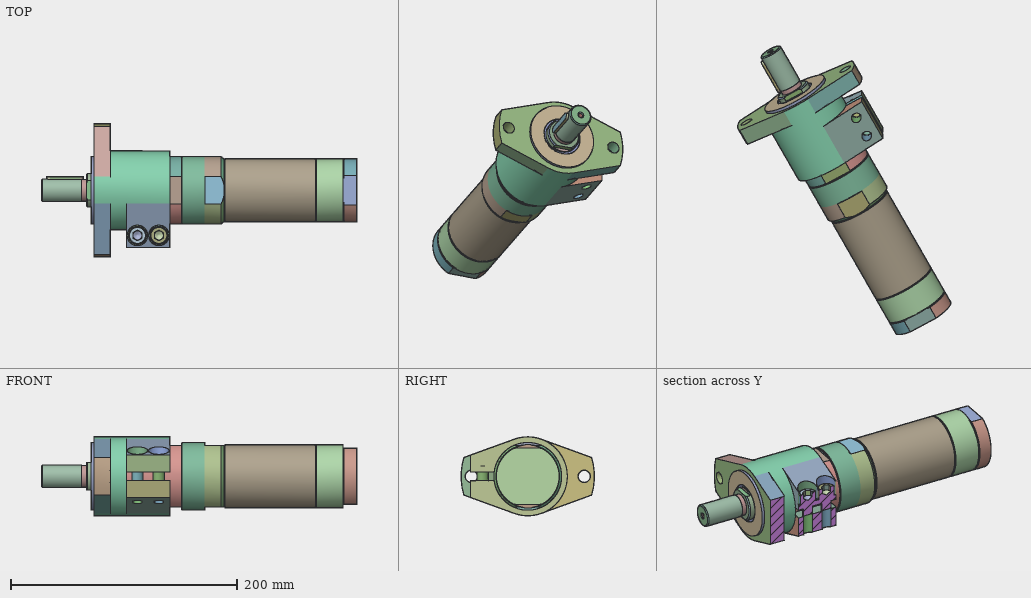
import cadquery as cq
import math

GROOVE_WIDTH = 0.8

NECK_START = 35.5
COLLAR_START = 39.5
PILOT_START = 43.8
FLANGE_START = 46.3
HOUSING_START = 60.8
CLAMP_START = 75.0
CLAMP_END = 113.5
RING_GROOVE_START = 123.5
RING_END = 144.5
BODY_CHAMFER_START = 158.5
BODY_END = 161.5
TUBE_START = BODY_END + GROOVE_WIDTH
REAR_GROOVE_START = 242.0
CAP_GROOVE_START = 266.5
TOTAL_LENGTH = 278.7

SHAFT_DIAMETER = 20.0
SHAFT_CHAMFER = 0.98
NECK_DIAMETER = 19.5
COLLAR_DIAMETER = 29.8
COLLAR_CHAMFER = 1.0
COLLAR_FLAT_HEIGHT = 12.3
SEAL_GROOVE_DIAMETER = 34.3
SEAL_GROOVE_DEPTH = 1.5
CENTRE_HOLE_DIAMETER = 4.0
CENTRE_HOLE_DEPTH = 8.5
COUNTERSINK_DIAMETER = 5.5
DRILL_TIP_HALF_ANGLE = math.radians(59)
KEY_START = 4.5
KEY_END = 37.0
KEY_WIDTH = 6.0
KEY_TOP = 12.0

PILOT_DIAMETER = 60.0
HOUSING_DIAMETER = 70.0
BODY_DIAMETER = 60.0
BODY_END_DIAMETER = 55.2
BODY_FLAT_HEIGHT = 27.3
TUBE_DIAMETER = 56.0
CAP_FLAT_HEIGHT = 24.8
TUBE_GROOVE_DIAMETER = 54.0
RING_GROOVE_DIAMETER = 58.2

FLANGE_LENGTH = 118.0
FLANGE_SLOPE = math.radians(20)
FLANGE_HOLE_OFFSET = 50.0
FLANGE_HOLE_DIAMETER = 10.5

EAR_REACH = 50.7
SLOT_WIDTH = 7.5
SCREW_X = (84.7, 103.7)
SCREW_Y = -39.9
SCREW_DIAMETER = 10.0
THREAD_HOLE_DIAMETER = 8.5
COUNTERBORE_DIAMETER = 18.0
COUNTERBORE_FLOOR = 9.0
HEAD_DIAMETER = 16.0
HEAD_TOP = 19.0
HEAD_CHAMFER = 0.8
SOCKET_WIDTH = 8.0
SOCKET_DEPTH = 5.0

HOUSING_RADIUS = HOUSING_DIAMETER / 2
TANGENT_Y = HOUSING_RADIUS * math.sin(FLANGE_SLOPE)
TANGENT_Z = HOUSING_RADIUS * math.cos(FLANGE_SLOPE)


def cylinder(start, end, diameter):
    """Cylinder on the X axis between two stations."""
    return cq.Workplane("YZ", origin=(start, 0, 0)).circle(diameter / 2).extrude(end - start)


def box(x_range, y_range, z_range):
    """Box between two limits on each axis."""
    size = [high - low for low, high in (x_range, y_range, z_range)]
    corner = (x_range[0], y_range[0], z_range[0])
    return cq.Workplane("XY", origin=corner).box(*size, centered=False)


def flatted(turned, start, end, flat_height):
    """Cut flats on the top and bottom of a turned piece."""
    width = HOUSING_DIAMETER
    keep_height = (-flat_height, flat_height)
    slab = box((start, end), (-width, width), (-width, width))
    return turned.cut(slab.cut(box((start, end), (-width, width), keep_height)))


def drill_tip_length(diameter):
    return diameter / 2 / math.tan(DRILL_TIP_HALF_ANGLE)


def sloped_height(y):
    """Height at y of the sloped line tangent to the housing circle."""
    return TANGENT_Z - (abs(y) - TANGENT_Y) * math.tan(FLANGE_SLOPE)


def make_shaft():
    shaft = cylinder(0, NECK_START, SHAFT_DIAMETER).faces("<X").chamfer(SHAFT_CHAMFER)
    shaft = shaft.union(cylinder(NECK_START, PILOT_START, NECK_DIAMETER))
    key = (
        cq.Workplane("XZ")
        .center((KEY_START + KEY_END) / 2, 0)
        .slot2D(KEY_END - KEY_START, KEY_WIDTH)
        .extrude(-KEY_TOP)
    )
    return shaft.union(key)


def make_centre_hole():
    hole_radius = CENTRE_HOLE_DIAMETER / 2
    sink_radius = COUNTERSINK_DIAMETER / 2
    tip = CENTRE_HOLE_DEPTH + drill_tip_length(CENTRE_HOLE_DIAMETER)
    outline = [
        (0, 0),
        (0, sink_radius),
        (sink_radius - hole_radius, hole_radius),
        (CENTRE_HOLE_DEPTH, hole_radius),
        (tip, 0),
    ]
    return cq.Workplane("XY").polyline(outline).close().revolve(360, (0, 0), (1, 0))


def make_collar():
    collar = cylinder(COLLAR_START, FLANGE_START, COLLAR_DIAMETER).faces("<X").chamfer(COLLAR_CHAMFER)
    return flatted(collar, COLLAR_START, PILOT_START, COLLAR_FLAT_HEIGHT)


def make_pilot():
    pilot = cylinder(PILOT_START, FLANGE_START, PILOT_DIAMETER)
    return pilot.cut(cylinder(PILOT_START, PILOT_START + SEAL_GROOVE_DEPTH, SEAL_GROOVE_DIAMETER))


def make_flange_and_housing():
    """Flange wings around the front housing, which rounds off the flange at top and bottom."""
    thickness = HOUSING_START - FLANGE_START
    end_y = FLANGE_LENGTH / 2
    end_z = sloped_height(end_y)
    outline = [
        (-TANGENT_Y, TANGENT_Z),
        (TANGENT_Y, TANGENT_Z),
        (end_y, end_z),
        (end_y, -end_z),
        (TANGENT_Y, -TANGENT_Z),
        (-TANGENT_Y, -TANGENT_Z),
        (-end_y, -end_z),
        (-end_y, end_z),
    ]
    rhombus = cq.Workplane("YZ", origin=(FLANGE_START, 0, 0)).polyline(outline).close().extrude(thickness)
    flange = rhombus.intersect(cylinder(FLANGE_START, HOUSING_START, FLANGE_LENGTH))
    holes = (
        cq.Workplane("YZ", origin=(FLANGE_START, 0, 0))
        .pushPoints([(-FLANGE_HOLE_OFFSET, 0), (FLANGE_HOLE_OFFSET, 0)])
        .circle(FLANGE_HOLE_DIAMETER / 2)
        .extrude(thickness)
    )
    return cylinder(FLANGE_START, CLAMP_START, HOUSING_DIAMETER).union(flange.cut(holes))


def make_body():
    ring_start = RING_GROOVE_START + GROOVE_WIDTH
    front = cylinder(CLAMP_START, RING_GROOVE_START, BODY_DIAMETER)
    front = flatted(front, CLAMP_END, RING_GROOVE_START, BODY_FLAT_HEIGHT)
    groove = cylinder(RING_GROOVE_START, ring_start, RING_GROOVE_DIAMETER)
    ring = cylinder(ring_start, RING_END, BODY_DIAMETER)
    rear_outline = [
        (RING_END, 0),
        (RING_END, BODY_DIAMETER / 2),
        (BODY_CHAMFER_START, BODY_DIAMETER / 2),
        (BODY_END, BODY_END_DIAMETER / 2),
        (BODY_END, 0),
    ]
    rear = cq.Workplane("XY").polyline(rear_outline).close().revolve(360, (0, 0), (1, 0))
    rear = flatted(rear, RING_END, BODY_END, BODY_FLAT_HEIGHT)
    return front.union(groove).union(ring).union(rear)


def make_tube():
    core = cylinder(BODY_END, TOTAL_LENGTH, TUBE_GROOVE_DIAMETER)
    tube = cylinder(TUBE_START, REAR_GROOVE_START, TUBE_DIAMETER)
    sleeve = cylinder(REAR_GROOVE_START + GROOVE_WIDTH, CAP_GROOVE_START, TUBE_DIAMETER)
    cap = cylinder(CAP_GROOVE_START + GROOVE_WIDTH, TOTAL_LENGTH, TUBE_DIAMETER)
    motor = core.union(tube).union(sleeve).union(cap)
    return flatted(motor, CAP_GROOVE_START, TOTAL_LENGTH, CAP_FLAT_HEIGHT)


def make_clamp():
    length = CLAMP_END - CLAMP_START
    ear_z = sloped_height(EAR_REACH)
    ears = (
        cq.Workplane("YZ", origin=(CLAMP_START, 0, 0))
        .polyline([
            (0, TANGENT_Z),
            (-TANGENT_Y, TANGENT_Z),
            (-EAR_REACH, ear_z),
            (-EAR_REACH, -ear_z),
            (-TANGENT_Y, -TANGENT_Z),
            (0, -TANGENT_Z),
        ])
        .close()
        .extrude(length)
    )
    clamp = cylinder(CLAMP_START, CLAMP_END, HOUSING_DIAMETER).union(ears)
    half_slot = SLOT_WIDTH / 2
    clamp = clamp.cut(box((CLAMP_START, CLAMP_END), (-EAR_REACH, 0), (-half_slot, half_slot)))
    for x in SCREW_X:
        hole = cq.Workplane("XY", origin=(x, SCREW_Y, 0))
        clamp = clamp.cut(hole.circle(THREAD_HOLE_DIAMETER / 2).extrude(-HOUSING_RADIUS))
        counterbore = hole.workplane(offset=COUNTERBORE_FLOOR).circle(COUNTERBORE_DIAMETER / 2)
        clamp = clamp.cut(counterbore.extrude(HOUSING_RADIUS))
    return clamp


def make_screw(x):
    """Socket head screw whose shank ends on the lower ear."""
    axis = cq.Workplane("XY", origin=(x, SCREW_Y, 0))
    shank_bottom = -SLOT_WIDTH / 2
    shank = axis.workplane(offset=shank_bottom).circle(SCREW_DIAMETER / 2).extrude(HEAD_TOP - shank_bottom)
    head_base = axis.workplane(offset=COUNTERBORE_FLOOR).circle(HEAD_DIAMETER / 2)
    head = head_base.extrude(HEAD_TOP - COUNTERBORE_FLOOR).faces(">Z").chamfer(HEAD_CHAMFER)
    socket_floor = HEAD_TOP - SOCKET_DEPTH
    across_corners = SOCKET_WIDTH / math.cos(math.pi / 6)
    socket = (
        axis.workplane(offset=socket_floor)
        .transformed(rotate=(0, 0, 90))
        .polygon(6, across_corners)
        .extrude(SOCKET_DEPTH)
    )
    drill_tip = cq.Workplane(
        cq.Solid.makeCone(
            SOCKET_WIDTH / 2, 0, drill_tip_length(SOCKET_WIDTH),
            pnt=cq.Vector(x, SCREW_Y, socket_floor), dir=cq.Vector(0, 0, -1),
        )
    )
    return shank.union(head).cut(socket).cut(drill_tip)


result = make_pilot().union(make_collar()).union(make_shaft()).cut(make_centre_hole())
result = result.union(make_flange_and_housing()).union(make_clamp()).union(make_body()).union(make_tube())
for screw_x in SCREW_X:
    result = result.union(make_screw(screw_x))